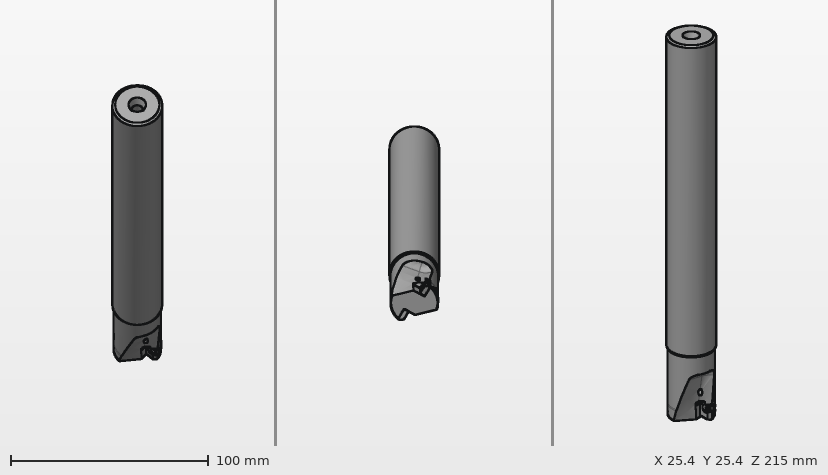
import cadquery as cq
import math

TOTAL_LENGTH = 215.0
SHANK_DIAMETER = 25.4
NECK_DIAMETER = 24.0
HEAD_DIAMETER = 24.3
BODY_BOTTOM = 0.5
HEAD_TOP = 7.5
HEAD_TAPER_HEIGHT = 0.6
NECK_TOP = 38.5
TOP_CHAMFER = 1.5
TOP_CHAMFER_HEIGHT = 0.9
SHOULDER_HEIGHT = 1.0
HEAD_BOTTOM_CHAMFER = 0.5

COOLANT_DIAMETER = 5.5
COUNTERSINK_DIAMETER = 8.8
COUNTERSINK_ANGLE = 40.0
COOLANT_BOTTOM = 25.8
NOZZLE_DIAMETER = 2.1
NOZZLE_EXIT = cq.Vector(7.0, -2.0, 15.5)
NOZZLE_OVERRUN = 2.5

FLUTE_COUNT = 2
FLUTE_TOP = 28.4
FLUTE_END_RADIUS = 3.9
FLUTE_OUTSIDE_X = 17.2
FLUTE_OUTSIDE_Y = -14.0
TIP_SECTION = ((-4.7, FLUTE_OUTSIDE_Y), (5.5, -3.7), (11.6, 0.9))
TOP_SECTION = ((6.5, FLUTE_OUTSIDE_Y), (8.0, -1.0), (11.2, 4.7))

INSERT_INNER_X = 5.5
INSERT_OUTER_X = 11.8
INSERT_TIP_X = 11.5
INSERT_INNER_BOTTOM = 1.0
INSERT_OUTER_BOTTOM = 0.6
INSERT_TOP = 8.0
INSERT_FACE_Y = 0.0
EDGE_BEVEL = 1.61
EDGE_BEVEL_TOP = 5.2
SEAT_Y = 2.8
POCKET_FRONT_Y = -5.4
POCKET_TOP = 8.4
RELIEF_RADIUS = 1.5
RELIEF_Z = 9.0

SCREW_X = 9.5
SCREW_Z = 5.8
SCREW_TILT = 15.0
SCREW_HOLE_DIAMETER = 2.4
INSERT_HOLE_DIAMETER = 2.5
INSERT_SINK_DIAMETER = 4.7


def turned_blank():
    """Shank, neck and head as one revolved profile."""
    shank_radius = SHANK_DIAMETER / 2
    neck_radius = NECK_DIAMETER / 2
    head_radius = HEAD_DIAMETER / 2
    profile = [
        (0, BODY_BOTTOM),
        (head_radius - HEAD_BOTTOM_CHAMFER, BODY_BOTTOM),
        (head_radius, BODY_BOTTOM + HEAD_BOTTOM_CHAMFER),
        (head_radius, HEAD_TOP - HEAD_TAPER_HEIGHT),
        (neck_radius, HEAD_TOP),
        (neck_radius, NECK_TOP),
        (shank_radius, NECK_TOP + SHOULDER_HEIGHT),
        (shank_radius, TOTAL_LENGTH - TOP_CHAMFER_HEIGHT),
        (shank_radius - TOP_CHAMFER, TOTAL_LENGTH),
        (0, TOTAL_LENGTH),
    ]
    return cq.Workplane("XZ").polyline(profile).close().revolve(360, (0, 0, 0), (0, 1, 0))


def half_turns(shape):
    """The shape repeated at every flute position around Z."""
    step = 360 / FLUTE_COUNT
    return [shape.rotate((0, 0, 0), (0, 0, 1), index * step) for index in range(FLUTE_COUNT)]


def countersink():
    """Slender cone that opens the coolant hole at the shank end."""
    top_radius = COUNTERSINK_DIAMETER / 2
    height = top_radius / math.tan(math.radians(COUNTERSINK_ANGLE / 2))
    tip = cq.Vector(0, 0, TOTAL_LENGTH - height)
    return cq.Workplane(cq.Solid.makeCone(0, top_radius, height, tip))


def coolant_supply():
    """Countersunk blind hole down the axis."""
    depth = TOTAL_LENGTH - COOLANT_BOTTOM
    return (
        cq.Workplane("XY", origin=(0, 0, COOLANT_BOTTOM))
        .circle(COOLANT_DIAMETER / 2)
        .extrude(depth)
        .union(countersink())
    )


def nozzle():
    """Slanted coolant outlet from the foot of the axial hole to the core wall of the flute."""
    start = cq.Vector(0, 0, COOLANT_BOTTOM)
    path = NOZZLE_EXIT - start
    length = path.Length + NOZZLE_OVERRUN
    return cq.Workplane(cq.Solid.makeCylinder(NOZZLE_DIAMETER / 2, length, start, path))


def flute_section(corners, height):
    """Closed flute outline at one height: core wall, root arc, then clear of the body."""
    wall_end, wall_foot, root_end = corners
    section = (
        cq.Workplane("XY", origin=(0, 0, height))
        .moveTo(*wall_end)
        .lineTo(*wall_foot)
        .tangentArcPoint(root_end, relative=False)
        .lineTo(FLUTE_OUTSIDE_X, root_end[1])
        .lineTo(FLUTE_OUTSIDE_X, FLUTE_OUTSIDE_Y)
        .close()
    )
    return section.val()


def flute():
    """Twisted flute whose core wall turns outward up to a rounded end."""
    sections = [flute_section(TIP_SECTION, 0), flute_section(TOP_SECTION, FLUTE_TOP)]
    twisted = cq.Workplane(cq.Solid.makeLoft(sections, True))
    return twisted.faces(">Z").edges("not >X").fillet(FLUTE_END_RADIUS)


def insert_pocket():
    """Seat for one insert, with a round relief in its inner top corner."""
    depth = SEAT_Y - POCKET_FRONT_Y
    pocket = cq.Workplane("XY").box(FLUTE_OUTSIDE_X - INSERT_INNER_X, depth, POCKET_TOP, centered=False)
    pocket = pocket.translate((INSERT_INNER_X, POCKET_FRONT_Y, 0))
    relief = (
        cq.Workplane("XZ", origin=(INSERT_INNER_X + RELIEF_RADIUS, SEAT_Y, RELIEF_Z))
        .circle(RELIEF_RADIUS)
        .extrude(depth)
    )
    return pocket.union(relief)


def screw_axis():
    """Centre of the screw hole on the insert face and its direction into the body."""
    tilt = math.radians(SCREW_TILT)
    centre = cq.Vector(SCREW_X, INSERT_FACE_Y, SCREW_Z)
    return centre, cq.Vector(0, math.cos(tilt), -math.sin(tilt))


def screw_hole(diameter):
    """Round hole from ahead of the insert face through to the back of the head."""
    centre, direction = screw_axis()
    start = centre - direction * diameter
    length = diameter + HEAD_DIAMETER / 2
    return cq.Workplane(cq.Solid.makeCylinder(diameter / 2, length, start, direction))


def screw_sink():
    """Right-angled cone that seats the screw head, started ahead of the insert face to cut it fully."""
    centre, direction = screw_axis()
    lead = INSERT_SINK_DIAMETER
    start = centre - direction * lead
    height = lead + INSERT_SINK_DIAMETER / 2
    return cq.Workplane(cq.Solid.makeCone(height, 0, height, start, direction))


def build_body():
    """Milling cutter body with its flutes, insert pockets and holes."""
    body = turned_blank().cut(coolant_supply())
    for cutter in (flute(), insert_pocket(), screw_hole(SCREW_HOLE_DIAMETER), nozzle()):
        for copy in half_turns(cutter):
            body = body.cut(copy)
    return body


def edge_bevel():
    """Prism that takes the lower part of the insert's outer front edge off at an angle."""
    triangle = [
        (INSERT_OUTER_X, INSERT_FACE_Y),
        (INSERT_OUTER_X - EDGE_BEVEL, INSERT_FACE_Y),
        (INSERT_OUTER_X, INSERT_FACE_Y + EDGE_BEVEL),
    ]
    return cq.Workplane("XY").polyline(triangle).close().extrude(EDGE_BEVEL_TOP)


def build_insert():
    """Cutting insert with a pointed tip, a bevelled edge and a countersunk screw hole."""
    outline = [
        (INSERT_INNER_X, INSERT_INNER_BOTTOM),
        (INSERT_TIP_X, 0),
        (INSERT_OUTER_X, INSERT_OUTER_BOTTOM),
        (INSERT_OUTER_X, INSERT_TOP),
        (INSERT_INNER_X, INSERT_TOP),
    ]
    thickness = SEAT_Y - INSERT_FACE_Y
    blank = cq.Workplane("XZ", origin=(0, SEAT_Y, 0)).polyline(outline).close().extrude(thickness)
    return blank.cut(edge_bevel()).cut(screw_hole(INSERT_HOLE_DIAMETER)).cut(screw_sink())


body = build_body()
inserts = half_turns(build_insert())

result = cq.Compound.makeCompound([body.val(), *[insert.val() for insert in inserts]])